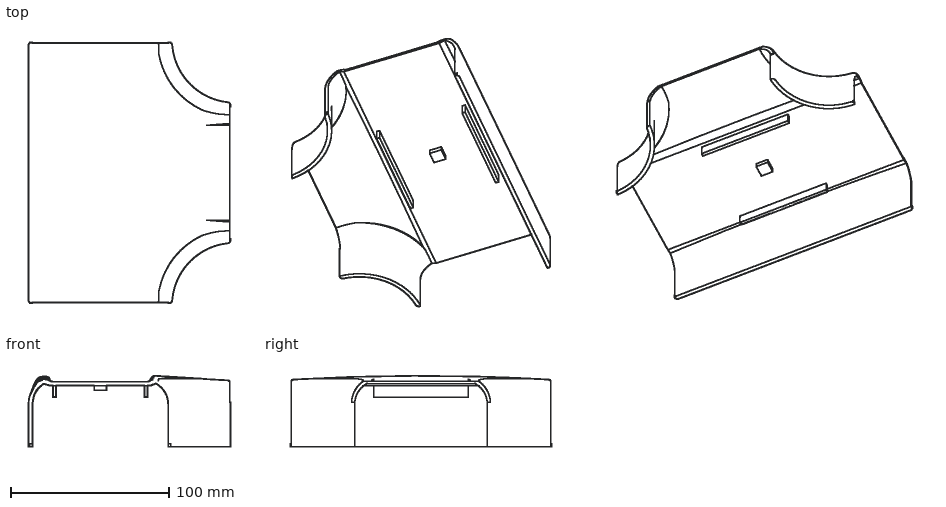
import cadquery as cq

length_x = 127.75
length_y = 165.05
height = 44.97

wall = 2.6
skin = 2.3
shoulder_z = 27.4
foot_lip = 0.4
foot_height = 2.0
foot_width = 1.5
foot_inset = 1.6
body_half_y = length_y / 2 - foot_lip
arm_step = 0.5
arm_step_z = 28.3

run_width = 90.8
panel_edge = 15.2
panel_top = 41.2
panel_bottom = 38.7
panel_mid_x = run_width / 2

crest_swell = 0.01
mid_crest_z = height - crest_swell
end_crest_z = 42.5
left_crest_drop = 0.4
crest_x = 10.2
shoulder_x = 3.0
shoulder_rise = 0.62
bead_side_x = 1.8
round_skin = 2.0
inner_crest_shift = 0.7
inner_panel_reach = 2.0
arm_tip_z = 42.0

corner_x = 130.1
corner_y = 83.7
corner_radius = corner_x - run_width
round_width = 9.2
round_bulge_x = 2.4
round_bulge_z = 36.2
round_top_z = 42.9

recess_half_y = 30.0
recess_start_x = 109.5
recess_start_z = 43.15
recess_end_z = 41.4
recess_draft = 2.0
recess_headroom = 3.0

rib_thickness = 2.0
rib_bottom = 31.4
rib_length = 2 * recess_half_y
rib_offset = 28.9
pad_size = 7.9
pad_bottom = 35.6

run_end_fillet = 1.5
arm_end_fillet = 2.0

clearance = 5.0
overlap = 0.5


def outer_section(y, crest_z):
    """Closed outer outline of the cover at one station along the run."""
    left_z = crest_z - left_crest_drop
    shoulder_point = (shoulder_x, shoulder_z + (left_z - shoulder_z) * shoulder_rise)
    right_panel_edge = run_width - panel_edge
    right_crest_x = run_width - crest_x
    roof_direction = (length_x - right_crest_x, arm_tip_z - crest_z)
    left_bead_side = (panel_edge - bead_side_x, (panel_top + left_z) / 2)
    right_bead_side = (right_panel_edge + bead_side_x, (panel_top + crest_z) / 2)
    return (
        cq.Workplane("XZ", origin=(0, y, 0))
        .lineTo(0, shoulder_z)
        .spline(
            [shoulder_point, (crest_x, left_z), left_bead_side, (panel_edge, panel_top)],
            tangents=[(0, 1), None, (1, 0), None, (1, 0)],
            includeCurrent=True,
        )
        .lineTo(right_panel_edge, panel_top)
        .spline(
            [right_bead_side, (right_crest_x, crest_z)],
            tangents=[(1, 0), roof_direction],
            includeCurrent=True,
        )
        .lineTo(length_x, arm_tip_z)
        .lineTo(length_x, 0)
        .close()
        .wires().val()
    )


def inner_section(y, crest_z):
    """Closed outline of the hollow at one station along the run."""
    left_z = crest_z - left_crest_drop - skin
    right_panel_edge = run_width - panel_edge
    right_crest_x = run_width - crest_x
    rounded_wall = (shoulder_x + round_skin, shoulder_z + (left_z - shoulder_z) * shoulder_rise)
    return (
        cq.Workplane("XZ", origin=(0, y, 0))
        .moveTo(wall, -clearance)
        .lineTo(wall, shoulder_z)
        .threePointArc(rounded_wall, (crest_x - inner_crest_shift, left_z))
        .lineTo(panel_edge - inner_panel_reach, panel_bottom)
        .lineTo(right_panel_edge + inner_panel_reach, panel_bottom)
        .lineTo(right_crest_x + inner_crest_shift, crest_z - skin)
        .lineTo(length_x + clearance, arm_tip_z - skin)
        .lineTo(length_x + clearance, -clearance)
        .close()
        .wires().val()
    )


def crowned_body(section, end_y):
    """Loft a section over the run with its crest highest at mid length."""
    wires = [section(-end_y, end_crest_z), section(0, mid_crest_z), section(end_y, end_crest_z)]
    return cq.Workplane(cq.Solid.makeLoft(wires, False))


def corner_tools(inset, drop):
    """Round bodies that shape both concave corners, grown by the inset and lowered by the drop."""
    radius = corner_radius + inset
    bulge_point = (radius + round_bulge_x, round_bulge_z - drop / 2)
    profile = (
        cq.Workplane("XZ")
        .moveTo(0, -2 * clearance)
        .lineTo(radius, -2 * clearance)
        .lineTo(radius, shoulder_z)
        .threePointArc(bulge_point, (radius + round_width, round_top_z - drop))
        .lineTo(radius + round_width, height + clearance)
        .lineTo(0, height + clearance)
        .close()
        .revolve(360, (0, 0, 0), (0, 1, 0))
    )
    return profile.translate((corner_x, corner_y, 0)).union(profile.translate((corner_x, -corner_y, 0)))


def round_end(body, end, radius):
    """Round the outer edges of one end face, all but those on the ground."""
    edges = [edge for edge in body.faces(end).edges().vals() if edge.Center().z > overlap]
    return body.newObject(edges).fillet(radius)


def set_back_arm_end(body):
    """Set the arm end back above its straight wall."""
    step = cq.Workplane("XY").box(clearance, length_y, height, centered=(False, True, False))
    return body.cut(step.translate((length_x - arm_step, 0, arm_step_z)))


def recess_station(x, floor_z):
    """Trapezoid across the arm, wider at the top."""
    top_half_y = recess_half_y + recess_draft * recess_headroom
    top_z = floor_z + recess_headroom
    return (
        cq.Workplane("YZ", origin=(x, 0, 0))
        .polyline([
            (-recess_half_y, floor_z),
            (recess_half_y, floor_z),
            (top_half_y, top_z),
            (-top_half_y, top_z),
        ])
        .close()
        .wires().val()
    )


def branch_recess():
    """Wedge cut that sinks the arm roof toward panel level at its open end."""
    wires = [recess_station(recess_start_x, recess_start_z), recess_station(length_x, recess_end_z)]
    return cq.Workplane(cq.Solid.makeLoft(wires, True))


def block(center_x, size_x, center_y, size_y, bottom_z, top_z):
    """Upright block centred on a point in plan."""
    return (
        cq.Workplane("XY", origin=(center_x, center_y, bottom_z))
        .rect(size_x, size_y)
        .extrude(top_z - bottom_z)
    )


def add_underside(body):
    """Two ribs along the run and a pad at the middle of the panel."""
    rib_top = panel_bottom + overlap
    for side in (-1, 1):
        rib_x = panel_mid_x + side * rib_offset
        body = body.union(block(rib_x, rib_thickness, 0, rib_length, rib_bottom, rib_top))
    return body.union(block(panel_mid_x, pad_size, 0, pad_size, pad_bottom, rib_top))


def add_feet(body):
    """Small lips at the foot of the four run-end wall edges."""
    foot_length = foot_lip + overlap
    foot_y = body_half_y + foot_lip - foot_length / 2
    for side_x in (foot_inset, run_width - foot_inset):
        for side_y in (-foot_y, foot_y):
            body = body.union(block(side_x, foot_width, side_y, foot_length, 0, foot_height))
    return body


outer = crowned_body(outer_section, body_half_y).cut(corner_tools(0, 0))
outer = round_end(outer, "<Y", run_end_fillet)
outer = round_end(outer, ">Y", run_end_fillet)
outer = round_end(outer, ">X", arm_end_fillet)
outer = set_back_arm_end(outer)
hollow = crowned_body(inner_section, body_half_y + overlap).cut(corner_tools(wall, skin))
shell = outer.cut(hollow).cut(branch_recess())
result = add_feet(add_underside(shell))